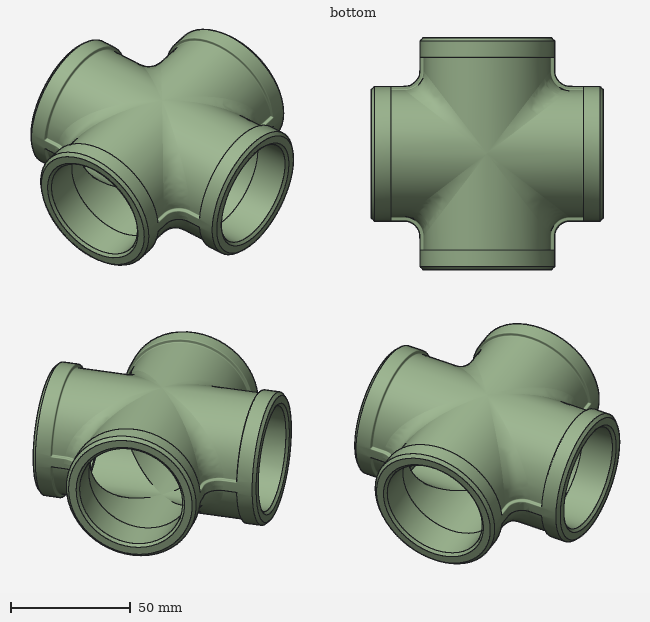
import cadquery as cq

length = 97.0
collar_diameter = 56.5
collar_length = 8.2
collar_chamfer = 1.4
body_diameter = 53.35
rib_thickness = 4.85
rib_corner_radius = 6.4
step_round = 0.4
bore_diameter = 44.8
bore_depth = 15.3
bore_chamfer = 1.2
chamber_diameter = 48.7

step_height = (collar_diameter - body_diameter) / 2
body_corner_radius = rib_corner_radius + step_height
collar_spacing = length - 2 * collar_length
chamber_length = length - 2 * bore_depth

end_faces = "<X or >X or <Y or >Y"


def block(side, height):
    """Square block centred on the origin."""
    return cq.Workplane("XY").box(side, side, height)


def crossing_cylinders(diameter, cylinder_length):
    """Equal solid cylinders along X and Y, crossing at the origin."""
    along_y = cq.Workplane("XZ").circle(diameter / 2).extrude(cylinder_length / 2, both=True)
    return along_y.union(along_y.rotate((0, 0, 0), (0, 0, 1), 90))


def blended_cross(diameter, corner_radius):
    """Crossing cylinders with a fillet where neighbouring arms meet."""
    return crossing_cylinders(diameter, length).edges("%ELLIPSE").fillet(corner_radius)


def collars_and_ribs():
    """The collars at the four ends and the flat ribs that join them around each corner."""
    collar_zone = block(length, collar_diameter).cut(block(collar_spacing, collar_diameter))
    rib_zone = block(length, rib_thickness)
    return blended_cross(collar_diameter, rib_corner_radius).intersect(collar_zone.union(rib_zone))


def outer_form():
    """The body with its collars and ribs, their steps rounded and their ends chamfered."""
    form = blended_cross(body_diameter, body_corner_radius).union(collars_and_ribs())
    step_faces = f"(|X or |Y or |Z) exc ({end_faces})"
    form = form.faces(step_faces).edges().fillet(step_round)
    return form.faces(end_faces).edges().chamfer(collar_chamfer)


def passages():
    """The four mouth bores and the wider chamber that joins them."""
    bores = crossing_cylinders(bore_diameter, length)
    chamber = crossing_cylinders(chamber_diameter, chamber_length)
    return bores.union(chamber)


fitting = outer_form().cut(passages())
mouth_edges = fitting.faces(end_faces).edges(cq.selectors.RadiusNthSelector(0))
result = mouth_edges.chamfer(bore_chamfer)